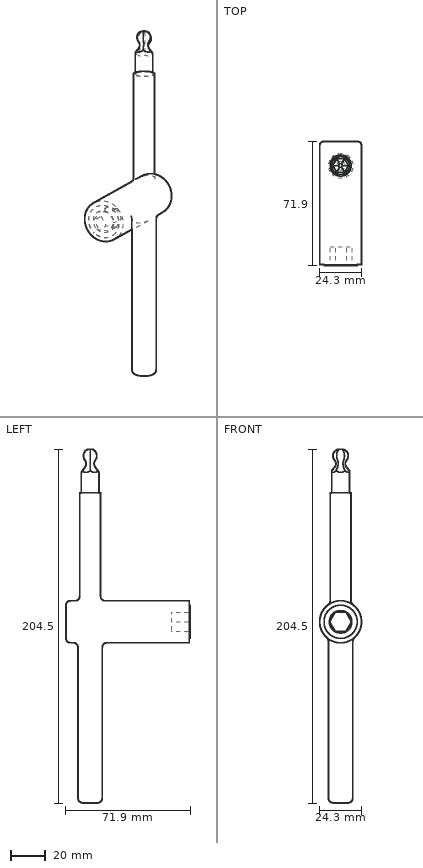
import cadquery as cq
import math


handle_diameter = 24.33
handle_length = 71.88
handle_back = 14.0
handle_back_fillet = 2.5
end_face_diameter = 19.2
end_face_height = 0.6

socket_flats = 11.0
socket_depth = 11.0
socket_rim_diameter = 13.0

flat_pairs = 3
half_turn = 180
half_sector = half_turn / flat_pairs / 2

top_z = 99.8
overall_height = 204.5
bottom_z = top_z - overall_height
upper_rod_diameter = 12.2
lower_rod_diameter = 14.2
lower_rod_end_fillet = 3.0
rod_root_fillet = 2.5

tip_diameter = 10.3
tip_length = 25.3
ball_top_half_flats = 1.0
ball_half_flats = 3.9
ball_middle_depth = 3.6
ball_end_half_flats = 3.0
ball_end_depth = 6.5
neck_half_flats = 2.35
neck_depth = 8.3
neck_upper_hollow = 0.1
neck_lower_hollow = 0.2
shoulder_half_flats = 3.1
shoulder_depth = 10.6
shoulder_slope = 0.7

tolerance = 0.01

front_y = handle_back - handle_length
body_front_y = front_y + end_face_height
step_z = top_z - tip_length


def cylinder_along_y(diameter, start_y, end_y):
    plane = cq.Workplane("XZ", origin=(0, start_y, 0))
    return plane.circle(diameter / 2).extrude(start_y - end_y)


def cylinder_along_z(diameter, start_z, end_z):
    plane = cq.Workplane("XY", origin=(0, 0, start_z))
    return plane.circle(diameter / 2).extrude(end_z - start_z)


def make_handle():
    body = cylinder_along_y(handle_diameter, body_front_y, handle_back)
    return body.faces(">Y").edges().fillet(handle_back_fillet)


def make_rods():
    lower = cylinder_along_z(lower_rod_diameter, bottom_z, 0)
    lower = lower.faces("<Z").edges().fillet(lower_rod_end_fillet)
    upper = cylinder_along_z(upper_rod_diameter, 0, step_z)
    return lower, upper


def is_rod_root(edge):
    """True for the edges where a rod leaves the handle's curved surface."""
    box = edge.BoundingBox()
    widest = max(abs(box.ymin), abs(box.ymax), abs(box.xmin), abs(box.xmax))
    farthest = max(abs(box.zmin), abs(box.zmax))
    beside_rod = widest < lower_rod_diameter / 2 + tolerance
    on_handle = farthest < handle_diameter / 2 + tolerance
    return beside_rod and on_handle


def make_joined_body():
    lower, upper = make_rods()
    body = make_handle().union(lower).union(upper)
    roots = [edge for edge in body.edges().vals() if is_rod_root(edge)]
    return body.newObject(roots).fillet(rod_root_fillet)


def tip_slab():
    """Tip profile across one pair of flats, extruded past the tip's diameter."""
    slope_end_half = shoulder_half_flats + shoulder_slope * (tip_length - shoulder_depth)

    def at(half_flats, depth):
        return (half_flats, top_z - depth)

    def arc_middle(start, end, hollow):
        """Middle of the chord, moved toward the tip's axis."""
        return ((start[0] + end[0]) / 2 - hollow, (start[1] + end[1]) / 2)

    ball_end = at(ball_end_half_flats, ball_end_depth)
    neck = at(neck_half_flats, neck_depth)
    shoulder = at(shoulder_half_flats, shoulder_depth)
    half = (
        cq.Workplane("YZ", origin=(-tip_diameter, 0, 0))
        .moveTo(0, top_z)
        .lineTo(*at(ball_top_half_flats, 0))
        .threePointArc(at(ball_half_flats, ball_middle_depth), ball_end)
        .threePointArc(arc_middle(ball_end, neck, neck_upper_hollow), neck)
        .threePointArc(arc_middle(neck, shoulder, neck_lower_hollow), shoulder)
        .lineTo(slope_end_half, step_z)
        .lineTo(0, step_z)
        .close()
        .extrude(2 * tip_diameter)
    )
    return half.union(half.mirror("XZ"))


def make_tip():
    tip = cylinder_along_z(tip_diameter, step_z, top_z)
    for index in range(flat_pairs):
        angle = index * half_turn / flat_pairs
        tip = tip.intersect(tip_slab().rotate((0, 0, 0), (0, 0, 1), angle))
    return tip


def make_socket():
    corner_diameter = socket_flats / math.cos(math.radians(half_sector))
    plane = cq.Workplane("XZ", origin=(0, front_y, 0))
    hexagon = plane.polygon(2 * flat_pairs, corner_diameter).extrude(-socket_depth)
    rim_radius = socket_rim_diameter / 2
    lead_in = cq.Workplane(
        cq.Solid.makeCone(rim_radius, 0, rim_radius, cq.Vector(0, front_y, 0), cq.Vector(0, 1, 0))
    )
    return hexagon.union(lead_in)


end_face = cylinder_along_y(end_face_diameter, front_y, body_front_y)
result = make_joined_body().union(end_face).union(make_tip()).cut(make_socket())